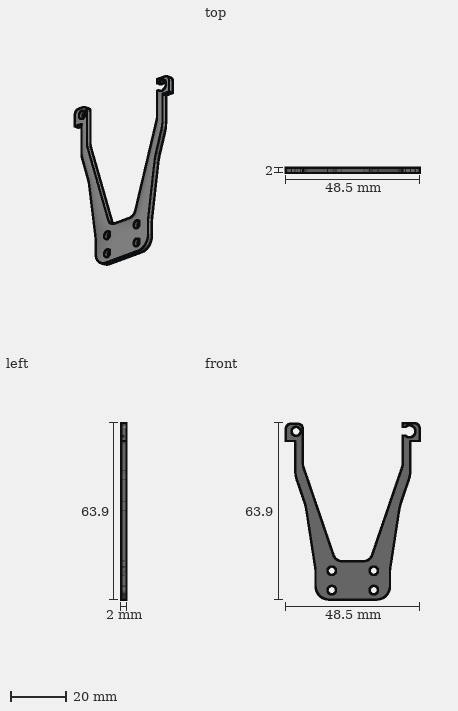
import cadquery as cq

thickness = 2.0
overall_width = 48.5
overall_height = 63.9
half_width = overall_width / 2

base_half_width = 13.5
base_top_z = 14.0
base_corner_radius = 5.0
notch_floor_half_width = 6.2
notch_radius = 3.0

arm_inner_x = 18.0
arm_outer_x = 20.85
inner_bend_z = 48.5
inner_bend_radius = 3.0
outer_bend_z = 45.1
outer_bend_radius = 10.0
taper_x = 17.05
taper_z = 33.95
taper_radius = 20.0
base_shoulder_z = 10.86
base_shoulder_radius = 10.0

head_bottom_z = 57.4
eye_head_top_z = 63.7
head_corner_radius = 2.0
head_hole_x = 20.5
head_hole_z = 60.9
eye_diameter = 3.2
hook_diameter = 4.25
hook_mouth_height = 3.0

mount_diameter = 3.0
mount_spacing_x = 15.2
mount_spacing_z = 7.0
mount_center_z = 7.0


def through_cylinder(x, z, diameter):
    """Cylinder along Y that spans the plate thickness."""
    return (
        cq.Workplane("XZ")
        .center(x, z)
        .circle(diameter / 2)
        .extrude(thickness / 2, both=True)
    )


def fillet_at(body, x, z, radius):
    """Round the through-thickness edge that stands at (x, z)."""
    nearest = cq.selectors.NearestToPointSelector((x, 0, z))
    return body.edges("|Y").edges(nearest).fillet(radius)


def arm_side_points(side, head_top_z):
    """Sharp corners of one half outline, from the base's bottom up and back to the notch floor."""
    half_outline = [
        (base_half_width, 0),
        (base_half_width, base_shoulder_z),
        (taper_x, taper_z),
        (arm_outer_x, outer_bend_z),
        (arm_outer_x, head_bottom_z),
        (half_width, head_bottom_z),
        (half_width, head_top_z),
        (arm_inner_x, head_top_z),
        (arm_inner_x, inner_bend_z),
        (notch_floor_half_width, base_top_z),
    ]
    return [(side * x, z) for x, z in half_outline]


def make_plate():
    """Fork-shaped plate with its bends and corners rounded."""
    right_points = arm_side_points(1, overall_height)
    left_points = arm_side_points(-1, eye_head_top_z)
    plate = (
        cq.Workplane("XZ")
        .polyline(right_points + left_points[::-1])
        .close()
        .extrude(thickness / 2, both=True)
    )
    for side, head_top_z in ((1, overall_height), (-1, eye_head_top_z)):
        plate = fillet_at(plate, side * base_half_width, 0, base_corner_radius)
        plate = fillet_at(plate, side * base_half_width, base_shoulder_z, base_shoulder_radius)
        plate = fillet_at(plate, side * arm_inner_x, inner_bend_z, inner_bend_radius)
        plate = fillet_at(plate, side * taper_x, taper_z, taper_radius)
        plate = fillet_at(plate, side * arm_outer_x, outer_bend_z, outer_bend_radius)
        plate = fillet_at(plate, side * half_width, head_top_z, head_corner_radius)
        plate = fillet_at(plate, side * notch_floor_half_width, base_top_z, notch_radius)
    return fillet_at(plate, -arm_inner_x, eye_head_top_z, head_corner_radius)


def cut_mounting_holes(body):
    """Four holes in a rectangle on the base."""
    for side_x in (-1, 1):
        for side_z in (-1, 1):
            x = side_x * mount_spacing_x / 2
            z = mount_center_z + side_z * mount_spacing_z / 2
            body = body.cut(through_cylinder(x, z, mount_diameter))
    return body


def cut_eye(body):
    """Closed round hole in the left head."""
    return body.cut(through_cylinder(-head_hole_x, head_hole_z, eye_diameter))


def cut_hook(body):
    """Round seat in the right head, open towards the other arm through a narrower mouth."""
    mouth_length = head_hole_x - arm_inner_x
    mouth = cq.Workplane("XY").box(mouth_length, thickness, hook_mouth_height)
    mouth = mouth.translate((arm_inner_x + mouth_length / 2, 0, head_hole_z))
    seat = through_cylinder(head_hole_x, head_hole_z, hook_diameter)
    return body.cut(seat).cut(mouth)


result = cut_hook(cut_eye(cut_mounting_holes(make_plate())))